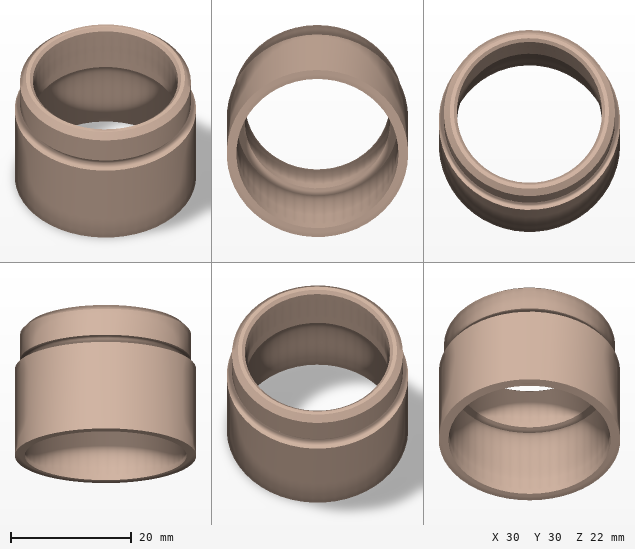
import cadquery as cq

total_height = 22.0
body_height = 15.0
groove_width = 1.5
recess_height = 13.5

body_diameter = 30.0
collar_diameter = 28.3
groove_diameter = 26.2
bore_diameter = 24.0
recess_diameter = 26.8

collar_chamfer = 1.0
groove_fillet = 0.3
mouth_chamfer = 0.5

groove_top = body_height + groove_width


def cylinder(diameter, bottom, top):
    """Solid cylinder on the Z axis between two heights."""
    return cq.Workplane("XY").workplane(offset=bottom).circle(diameter / 2).extrude(top - bottom)


def outer_shape():
    """Body and chamfered collar, separated by a groove with rounded inner corners."""
    body = cylinder(body_diameter, 0, body_height)
    neck = cylinder(groove_diameter, body_height, groove_top)
    collar = cylinder(collar_diameter, groove_top, total_height)
    collar = collar.faces(">Z").chamfer(collar_chamfer)
    corner_box = cq.selectors.BoxSelector(
        (-groove_diameter, -groove_diameter, body_height - groove_fillet),
        (groove_diameter, groove_diameter, groove_top + groove_fillet),
        boundingbox=True,
    )
    neck_corners = cq.selectors.RadiusNthSelector(0)
    shape = body.union(neck).union(collar)
    return shape.edges(corner_box).edges("%CIRCLE").edges(neck_corners).fillet(groove_fillet)


def inner_cavity():
    """Bore widening to a recess open at the base."""
    bore = cylinder(bore_diameter, 0, total_height)
    recess = cylinder(recess_diameter, 0, recess_height)
    return bore.union(recess)


def chamfer_mouth(ring):
    """Chamfer the upper rim of the bore."""
    return ring.faces(">Z").edges(cq.selectors.RadiusNthSelector(0)).chamfer(mouth_chamfer)


result = chamfer_mouth(outer_shape().cut(inner_cavity()))